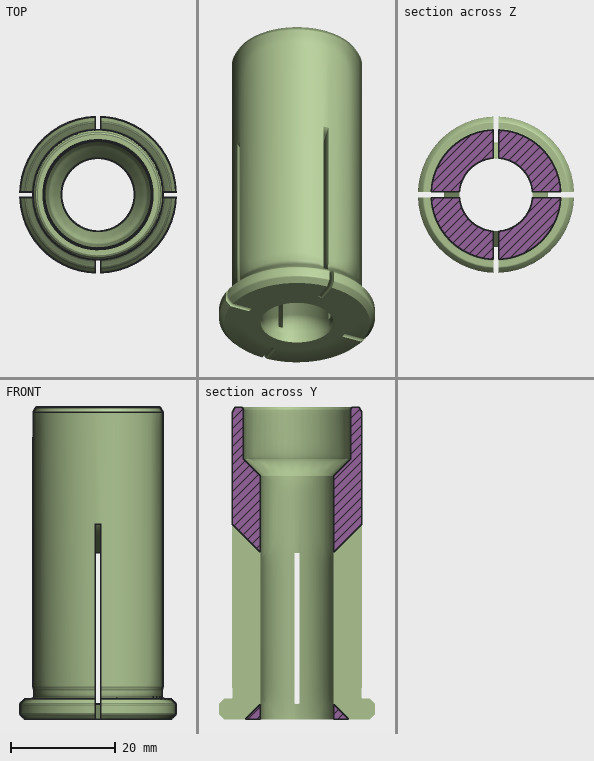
import cadquery as cq
import math

length = 60.0
body_radius = 25.0 / 2
bore_radius = 14.0 / 2

flange_radius = 30.0 / 2
flange_height = 4.0
flange_chamfer = 1.0
flange_round = 0.4

neck_radius = 12.35
neck_fillet = 0.4
neck_taper_angle = 15.0
neck_taper_end = 6.25

lead_height = 1.0
lead_angle = 30.0
lead_round = 0.4

counterbore_radius = 20.5 / 2
counterbore_depth = 10.0
rim_chamfer_height = 0.5
rim_chamfer_angle = 30.0
cone_height = counterbore_radius - bore_radius

slot_count = 4
slot_width = 1.0
slot_top_at_body = 37.5
slot_bottom_at_bore = 3.0
slot_overrun = 1.0
slot_reach = flange_radius + slot_overrun


def revolve_profile(points):
    """Revolve a closed (radius, height) outline around the Z axis."""
    return cq.Workplane("XZ").polyline(points).close().revolve(360, (0, 0), (0, 1))


def taper_inset(height, angle):
    """Radial change over a height for a cone at this angle in degrees from the axis."""
    return height * math.tan(math.radians(angle))


def circles_at(solid, radius, height):
    """Select the circular edges of the solid that have this radius and height."""
    tolerance = 1e-4

    def matches(edge):
        if edge.geomType() != "CIRCLE":
            return False
        same_height = abs(edge.Center().z - height) < tolerance
        same_radius = abs(edge.radius() - radius) < tolerance
        return same_height and same_radius

    return solid.edges().filter(matches)


def make_flange_and_body():
    chamfered_radius = flange_radius - flange_chamfer
    chamfered_height = flange_height - flange_chamfer
    neck_depth = body_radius - neck_radius
    neck_taper_start = neck_taper_end - neck_depth / math.tan(math.radians(neck_taper_angle))
    lead_start = length - lead_height
    rim_radius = body_radius - taper_inset(lead_height, lead_angle)
    outside = revolve_profile([
        (0, 0),
        (chamfered_radius, 0),
        (flange_radius, flange_chamfer),
        (flange_radius, chamfered_height),
        (chamfered_radius, flange_height),
        (neck_radius, flange_height),
        (neck_radius, neck_taper_start),
        (body_radius, neck_taper_end),
        (body_radius, lead_start),
        (rim_radius, length),
        (0, length),
    ])
    roundings = [
        (flange_radius, flange_chamfer, flange_round),
        (flange_radius, chamfered_height, flange_round),
        (chamfered_radius, flange_height, flange_round),
        (neck_radius, flange_height, neck_fillet),
        (rim_radius, length, lead_round),
    ]
    for radius, height, rounding in roundings:
        outside = circles_at(outside, radius, height).fillet(rounding)
    return outside


def make_stepped_bore():
    cone_top = length - counterbore_depth
    rim_chamfer_inset = taper_inset(rim_chamfer_height, rim_chamfer_angle)
    return revolve_profile([
        (0, 0),
        (bore_radius, 0),
        (bore_radius, cone_top - cone_height),
        (counterbore_radius, cone_top),
        (counterbore_radius, length - rim_chamfer_height),
        (counterbore_radius + rim_chamfer_inset, length),
        (0, length),
    ])


def make_slot_cutter():
    slot_top_at_axis = slot_top_at_body - body_radius
    slot_bottom_at_axis = slot_bottom_at_bore + bore_radius
    return (
        cq.Workplane("XZ")
        .polyline([
            (0, slot_bottom_at_axis),
            (slot_reach, slot_bottom_at_axis - slot_reach),
            (slot_reach, slot_top_at_axis + slot_reach),
            (0, slot_top_at_axis),
        ])
        .close()
        .extrude(slot_width / 2, both=True)
    )


result = make_flange_and_body().cut(make_stepped_bore())
slot_cutter = make_slot_cutter()
for index in range(slot_count):
    angle = index * 360.0 / slot_count
    result = result.cut(slot_cutter.rotate((0, 0, 0), (0, 0, 1), angle))